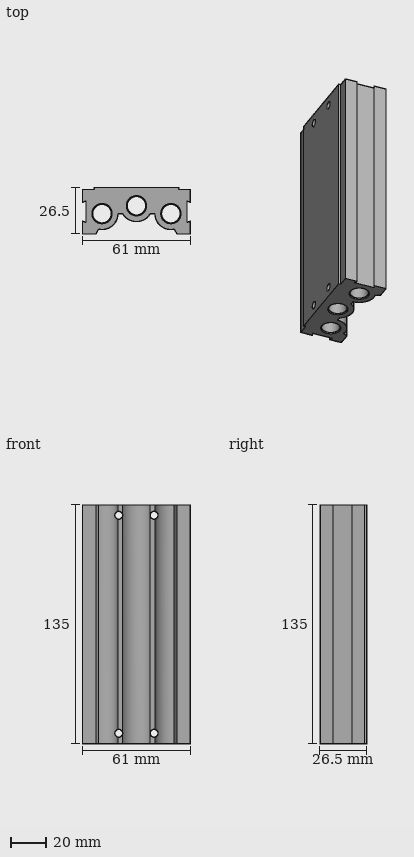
import cadquery as cq
import math

WIDTH = 61.0
DEPTH = 26.5
LENGTH = 135.0

PAD_WIDTH = 47.9
PAD_HEIGHT = 1.2

GROOVE_DEPTH = 1.9
GROOVE_CENTRE_Y = 12.7
GROOVE_MOUTH = 10.5
GROOVE_FLOOR = 11.9

BORE_SPACING = 19.5
SIDE_BORE_Y = 11.6
CENTRE_BORE_Y = 16.0
BORE_DIAMETER = 10.4
BORE_CHAMFER = 0.5
WALL_RADIUS = 9.0

WEB_Y = 11.5
FOOT_INNER_X = 23.0
FOOT_TOP_X = 21.3

MOUNT_SPACING = 20.0
MOUNT_DIAMETER = 4.3
MOUNT_END_DISTANCE = 6.0


def wall_y(centre_y, offset_x):
    """Front Y of a bore wall at a sideways offset from the bore axis."""
    return centre_y - math.sqrt(WALL_RADIUS**2 - offset_x**2)


def wall_half_width(centre_y, y):
    """Sideways offset at which a bore wall reaches the given Y."""
    return math.sqrt(WALL_RADIUS**2 - (centre_y - y) ** 2)


def make_body():
    """Extruded profile without holes, built as one half and mirrored."""
    half_width = WIDTH / 2
    floor_x = half_width - GROOVE_DEPTH
    shoulder_y = DEPTH - PAD_HEIGHT
    foot_top_y = wall_y(SIDE_BORE_Y, FOOT_TOP_X - BORE_SPACING)
    web_outer_x = BORE_SPACING - wall_half_width(SIDE_BORE_Y, WEB_Y)
    web_inner_x = wall_half_width(CENTRE_BORE_Y, WEB_Y)
    diagonal = WALL_RADIUS * math.sqrt(0.5)
    centre_arc_x = web_inner_x / 2

    half = (
        cq.Workplane("XY")
        .workplane(offset=-LENGTH / 2)
        .moveTo(0, DEPTH)
        .lineTo(PAD_WIDTH / 2, DEPTH)
        .lineTo(PAD_WIDTH / 2, shoulder_y)
        .lineTo(half_width, shoulder_y)
        .lineTo(half_width, GROOVE_CENTRE_Y + GROOVE_MOUTH / 2)
        .lineTo(floor_x, GROOVE_CENTRE_Y + GROOVE_FLOOR / 2)
        .lineTo(floor_x, GROOVE_CENTRE_Y - GROOVE_FLOOR / 2)
        .lineTo(half_width, GROOVE_CENTRE_Y - GROOVE_MOUTH / 2)
        .lineTo(half_width, 0)
        .lineTo(FOOT_INNER_X, 0)
        .lineTo(FOOT_TOP_X, foot_top_y)
        .threePointArc(
            (BORE_SPACING - diagonal, SIDE_BORE_Y - diagonal),
            (web_outer_x, WEB_Y),
        )
        .lineTo(web_inner_x, WEB_Y)
        .threePointArc(
            (centre_arc_x, wall_y(CENTRE_BORE_Y, centre_arc_x)),
            (0, CENTRE_BORE_Y - WALL_RADIUS),
        )
        .close()
        .extrude(LENGTH)
    )
    return half.union(half.mirror("YZ"), clean=True)


def make_bore(x, y):
    """Cutter for one bore along Z, flared by a chamfer at both ends."""
    radius = BORE_DIAMETER / 2
    mouth_radius = radius + BORE_CHAMFER
    half_length = LENGTH / 2
    straight_end = half_length - BORE_CHAMFER
    return (
        cq.Workplane("XZ")
        .moveTo(0, -half_length)
        .lineTo(mouth_radius, -half_length)
        .lineTo(radius, -straight_end)
        .lineTo(radius, straight_end)
        .lineTo(mouth_radius, half_length)
        .lineTo(0, half_length)
        .close()
        .revolve(360, (0, 0, 0), (0, 1, 0))
        .translate((x, y, 0))
    )


def make_mount_holes():
    """Four mounting holes running front to back through the block."""
    return (
        cq.Workplane("XZ")
        .rect(MOUNT_SPACING, LENGTH - 2 * MOUNT_END_DISTANCE, forConstruction=True)
        .vertices()
        .circle(MOUNT_DIAMETER / 2)
        .extrude(-DEPTH)
    )


result = make_body()
for bore_x, bore_y in (
    (-BORE_SPACING, SIDE_BORE_Y),
    (0, CENTRE_BORE_Y),
    (BORE_SPACING, SIDE_BORE_Y),
):
    result = result.cut(make_bore(bore_x, bore_y))
result = result.cut(make_mount_holes())